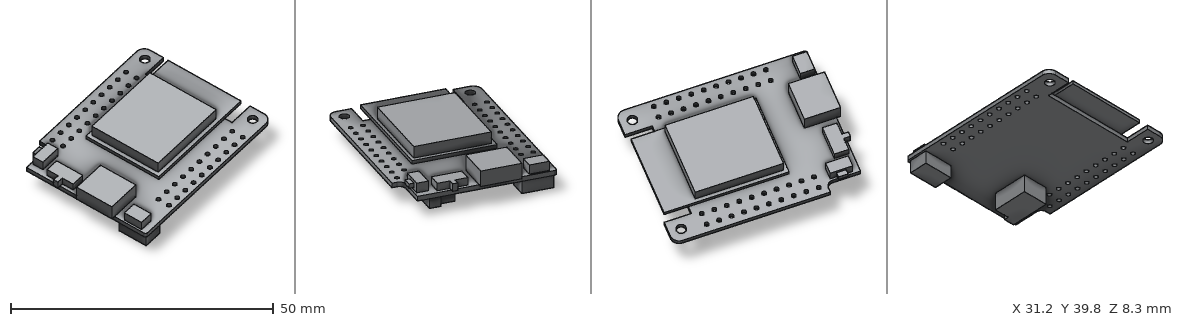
import cadquery as cq


BOARD_WIDTH = 31.17
BOARD_LENGTH = 39.03
BOARD_THICKNESS = 1.0
REAR_CORNER_RADIUS = 1.8
FRONT_CORNER_RADIUS = 0.5
SIDE_NOTCH_WIDTH = 2.32
SIDE_NOTCH_LENGTH = 7.03
SIDE_NOTCH_RADIUS = 1.3
ANTENNA_NOTCH_LEFT = 5.02
ANTENNA_NOTCH_WIDTH = 20.9
ANTENNA_NOTCH_DEPTH = 5.56

MOUNT_HOLE_DIAMETER = 2.0
MOUNT_HOLE_LEFT = 2.5
MOUNT_HOLE_SPACING = 26.0
MOUNT_HOLE_REAR_OFFSET = 2.5
PIN_HOLE_DIAMETER = 0.9
PIN_PITCH = 2.54
PIN_COUNT = 10
FIRST_PIN_X = 1.75
FIRST_PIN_Y = 8.77
PIN_BLOCK_SPACING = 25.6

CARRIER_WIDTH = 17.6
CARRIER_LENGTH = 25.5
CARRIER_THICKNESS = 0.75
CARRIER_LEFT = 6.6
CARRIER_REAR_OFFSET = 0.58
SHIELD_WIDTH = 16.0
SHIELD_LENGTH = 18.0
SHIELD_TOP = 3.2
SHIELD_SIDE_MARGIN = 0.74
SHIELD_FRONT_MARGIN = 0.88

USB_WIDTH = 8.5
USB_LENGTH = 7.4
USB_HEIGHT = 3.3
USB_LEFT = 15.06
USB_OVERHANG = 0.8

SWITCH_WIDTH = 6.3
SWITCH_LENGTH = 2.95
SWITCH_HEIGHT = 1.6
SWITCH_LEFT = 6.72
SWITCH_FRONT = 0.73
LEVER_WIDTH = 1.05
LEVER_LENGTH = 1.36

BUTTON_WIDTH = 2.4
BUTTON_LENGTH = 4.6
BUTTON_HEIGHT = 2.05
BUTTON_LEFT = 2.76
BUTTON_FRONT = 1.44
PLUNGER_REACH = 1.02
PLUNGER_LENGTH = 1.95
PLUNGER_HEIGHT = 0.9
PLUNGER_BOTTOM = 0.56

CHIP_WIDTH = 4.15
CHIP_LENGTH = 2.95
CHIP_HEIGHT = 1.95
CHIP_LEFT = 25.6
CHIP_FRONT = 0.44

LEFT_CONNECTOR_WIDTH = 5.72
LEFT_CONNECTOR_LENGTH = 8.95
LEFT_CONNECTOR_HEIGHT = 4.0
LEFT_CONNECTOR_LEFT = 6.28
LEFT_CONNECTOR_FRONT = 3.49
LEFT_CONNECTOR_STEP_X = 2.36
LEFT_CONNECTOR_STEP_DEPTH = 1.0
RIGHT_CONNECTOR_WIDTH = 6.6
RIGHT_CONNECTOR_LENGTH = 4.25
RIGHT_CONNECTOR_HEIGHT = 2.95
RIGHT_CONNECTOR_LEFT = 24.14
RIGHT_CONNECTOR_FRONT = 0.59


def block(left, front, bottom, width, length, height):
    """Box given by its lowest X, Y, Z corner and its sizes along X, Y, Z."""
    return cq.Workplane("XY").box(width, length, height, centered=False).translate((left, front, bottom))


def corner_at(x, y):
    """Selector for the vertical board edge at the given corner."""
    reach = 0.1
    return cq.selectors.BoxSelector(
        (x - reach, y - reach, -BOARD_THICKNESS),
        (x + reach, y + reach, 0),
    )


def make_board():
    notch_front = BOARD_LENGTH - ANTENNA_NOTCH_DEPTH
    bottom = -BOARD_THICKNESS
    board = block(0, 0, bottom, BOARD_WIDTH, BOARD_LENGTH, BOARD_THICKNESS)
    board = board.cut(
        block(ANTENNA_NOTCH_LEFT, notch_front, bottom, ANTENNA_NOTCH_WIDTH, ANTENNA_NOTCH_DEPTH, BOARD_THICKNESS)
    )
    board = board.cut(block(0, 0, bottom, SIDE_NOTCH_WIDTH, SIDE_NOTCH_LENGTH, BOARD_THICKNESS))
    rounded_corners = [
        (0, BOARD_LENGTH, REAR_CORNER_RADIUS),
        (BOARD_WIDTH, BOARD_LENGTH, REAR_CORNER_RADIUS),
        (BOARD_WIDTH, 0, FRONT_CORNER_RADIUS),
        (SIDE_NOTCH_WIDTH, SIDE_NOTCH_LENGTH, SIDE_NOTCH_RADIUS),
    ]
    for x, y, radius in rounded_corners:
        board = board.edges(corner_at(x, y)).fillet(radius)
    return board


def drill(board, points, diameter):
    """Drill through holes at the given points of the board."""
    holes = cq.Workplane("XY").pushPoints(points).circle(diameter / 2).extrude(-BOARD_THICKNESS)
    return board.cut(holes)


def mount_hole_points():
    y = BOARD_LENGTH - MOUNT_HOLE_REAR_OFFSET
    return [(MOUNT_HOLE_LEFT, y), (MOUNT_HOLE_LEFT + MOUNT_HOLE_SPACING, y)]


def pin_hole_points():
    points = []
    for block_x in (FIRST_PIN_X, FIRST_PIN_X + PIN_BLOCK_SPACING):
        for column_x in (block_x, block_x + PIN_PITCH):
            for row in range(PIN_COUNT):
                points.append((column_x, FIRST_PIN_Y + row * PIN_PITCH))
    return points


def make_radio_module():
    carrier_front = BOARD_LENGTH - CARRIER_REAR_OFFSET - CARRIER_LENGTH
    carrier = block(CARRIER_LEFT, carrier_front, 0, CARRIER_WIDTH, CARRIER_LENGTH, CARRIER_THICKNESS)
    shield = block(
        CARRIER_LEFT + SHIELD_SIDE_MARGIN,
        carrier_front + SHIELD_FRONT_MARGIN,
        CARRIER_THICKNESS,
        SHIELD_WIDTH,
        SHIELD_LENGTH,
        SHIELD_TOP - CARRIER_THICKNESS,
    )
    return carrier.union(shield)


def make_usb_socket():
    return block(USB_LEFT, -USB_OVERHANG, 0, USB_WIDTH, USB_LENGTH, USB_HEIGHT)


def make_slide_switch():
    body = block(SWITCH_LEFT, SWITCH_FRONT, 0, SWITCH_WIDTH, SWITCH_LENGTH, SWITCH_HEIGHT)
    lever_left = SWITCH_LEFT + (SWITCH_WIDTH - LEVER_WIDTH) / 2
    lever = block(lever_left, SWITCH_FRONT - LEVER_LENGTH, 0, LEVER_WIDTH, LEVER_LENGTH, SWITCH_HEIGHT)
    return body.union(lever)


def make_push_button():
    body = block(BUTTON_LEFT, BUTTON_FRONT, 0, BUTTON_WIDTH, BUTTON_LENGTH, BUTTON_HEIGHT)
    plunger_front = BUTTON_FRONT + (BUTTON_LENGTH - PLUNGER_LENGTH) / 2
    plunger = block(
        BUTTON_LEFT - PLUNGER_REACH,
        plunger_front,
        PLUNGER_BOTTOM,
        PLUNGER_REACH,
        PLUNGER_LENGTH,
        PLUNGER_HEIGHT,
    )
    return body.union(plunger)


def make_chip():
    return block(CHIP_LEFT, CHIP_FRONT, 0, CHIP_WIDTH, CHIP_LENGTH, CHIP_HEIGHT)


def make_left_connector():
    bottom = -BOARD_THICKNESS - LEFT_CONNECTOR_HEIGHT
    body = block(
        LEFT_CONNECTOR_LEFT,
        LEFT_CONNECTOR_FRONT,
        bottom,
        LEFT_CONNECTOR_WIDTH,
        LEFT_CONNECTOR_LENGTH,
        LEFT_CONNECTOR_HEIGHT,
    )
    step = block(
        LEFT_CONNECTOR_LEFT + LEFT_CONNECTOR_STEP_X,
        LEFT_CONNECTOR_FRONT,
        bottom,
        LEFT_CONNECTOR_WIDTH - LEFT_CONNECTOR_STEP_X,
        LEFT_CONNECTOR_STEP_DEPTH,
        LEFT_CONNECTOR_HEIGHT,
    )
    return body.cut(step)


def make_right_connector():
    return block(
        RIGHT_CONNECTOR_LEFT,
        RIGHT_CONNECTOR_FRONT,
        -BOARD_THICKNESS - RIGHT_CONNECTOR_HEIGHT,
        RIGHT_CONNECTOR_WIDTH,
        RIGHT_CONNECTOR_LENGTH,
        RIGHT_CONNECTOR_HEIGHT,
    )


result = make_board()
result = drill(result, mount_hole_points(), MOUNT_HOLE_DIAMETER)
result = drill(result, pin_hole_points(), PIN_HOLE_DIAMETER)
components = [
    make_radio_module(),
    make_usb_socket(),
    make_slide_switch(),
    make_push_button(),
    make_chip(),
    make_left_connector(),
    make_right_connector(),
]
for component in components:
    result = result.union(component)